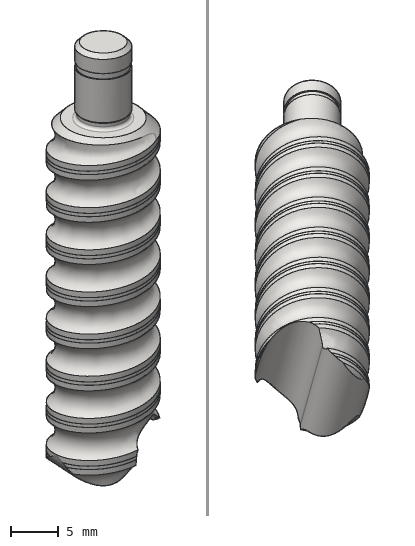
import cadquery as cq
import math

total_length = 50.0
screw_radius = 12.0 / 2
head_z = 41.0
head_chamfer = 1.5

shank_radius = 6.0 / 2
shank_chamfer = 0.5
clip_groove_radius = 5.7 / 2
clip_groove_width = 0.7
clip_groove_setback = 2.2
clip_groove_top_z = total_length - clip_groove_setback
undercut_radius = 5.6 / 2
undercut_length = 1.0
undercut_fillet = 0.4
undercut_taper = shank_radius - undercut_radius

pitch = 5.0
ball_radius = 1.9
root_radius = 5.05
ball_center_radius = root_radius + ball_radius
land_strip_width = 0.4
land_relief = 0.02
groove_turns = 9
groove_end_angle = 42.0
groove_end_z = 41.3

coupling_radius = screw_radius / 2

clearance = 1.0


def make_screw_blank():
    """Plain cylinder below the shoulder."""
    return cq.Workplane("XY").circle(screw_radius).extrude(head_z)


def make_head_chamfer_cutter():
    """Ring that bevels the top edge of the screw, groove walls included."""
    outer_radius = screw_radius + clearance
    return (
        cq.Workplane("XZ")
        .moveTo(screw_radius - head_chamfer - clearance, head_z + clearance)
        .lineTo(outer_radius, head_z - head_chamfer - clearance)
        .lineTo(outer_radius, head_z + clearance)
        .close()
        .revolve(360, (0, 0, 0), (0, 1, 0))
    )


def make_shank():
    """Turned shank on top of the shoulder, drawn as (radius, z)."""
    undercut_top_z = head_z + undercut_length
    clip_groove_bottom_z = clip_groove_top_z - clip_groove_width
    fillet_foot_radius = undercut_radius + undercut_fillet
    fillet_top_z = head_z + undercut_fillet
    fillet_reach = undercut_fillet * math.sqrt(0.5)
    fillet_middle = (fillet_foot_radius - fillet_reach, fillet_top_z - fillet_reach)
    return (
        cq.Workplane("XZ")
        .moveTo(0, head_z)
        .lineTo(fillet_foot_radius, head_z)
        .threePointArc(fillet_middle, (undercut_radius, fillet_top_z))
        .lineTo(undercut_radius, undercut_top_z - undercut_taper)
        .lineTo(shank_radius, undercut_top_z)
        .lineTo(shank_radius, clip_groove_bottom_z)
        .lineTo(clip_groove_radius, clip_groove_bottom_z)
        .lineTo(clip_groove_radius, clip_groove_top_z)
        .lineTo(shank_radius, clip_groove_top_z)
        .lineTo(shank_radius, total_length - shank_chamfer)
        .lineTo(shank_radius - shank_chamfer, total_length)
        .lineTo(0, total_length)
        .close()
        .revolve(360, (0, 0, 0), (0, 1, 0))
    )


def make_ball_groove():
    """Helical cutter: circular ball track with a shallow land relief on both sides."""
    land_radius = screw_radius - land_relief
    outer_radius = screw_radius + clearance
    track_half_width = math.sqrt(ball_radius**2 - (ball_center_radius - land_radius) ** 2)
    relief_half_width = (pitch - land_strip_width) / 2
    profile = (
        cq.Workplane("XZ")
        .moveTo(outer_radius, -relief_half_width)
        .lineTo(land_radius, -relief_half_width)
        .lineTo(land_radius, -track_half_width)
        .threePointArc((root_radius, 0), (land_radius, track_half_width))
        .lineTo(land_radius, relief_half_width)
        .lineTo(outer_radius, relief_half_width)
        .close()
    )
    groove_height = groove_turns * pitch
    groove_start_angle = groove_end_angle - 360 * groove_turns
    helix = cq.Wire.makeHelix(pitch, groove_height, screw_radius)
    cutter = profile.sweep(cq.Workplane(helix), isFrenet=True)
    return cutter.rotate((0, 0, 0), (0, 0, 1), groove_start_angle).translate(
        (0, 0, groove_end_z - groove_height)
    )


def make_coupling_cutter():
    """Material below the S curve of the coupling end, drawn as (y, z) and run along X."""
    outer_y = screw_radius + clearance
    return (
        cq.Workplane("YZ")
        .moveTo(outer_y, coupling_radius)
        .lineTo(screw_radius, coupling_radius)
        .threePointArc((coupling_radius, 2 * coupling_radius), (0, coupling_radius))
        .threePointArc((-coupling_radius, 0), (-screw_radius, coupling_radius))
        .lineTo(-outer_y, coupling_radius)
        .lineTo(-outer_y, -clearance)
        .lineTo(outer_y, -clearance)
        .close()
        .extrude(outer_y, both=True)
    )


screw = make_screw_blank().cut(make_ball_groove())
screw = screw.cut(make_head_chamfer_cutter()).cut(make_coupling_cutter())
result = screw.union(make_shank())